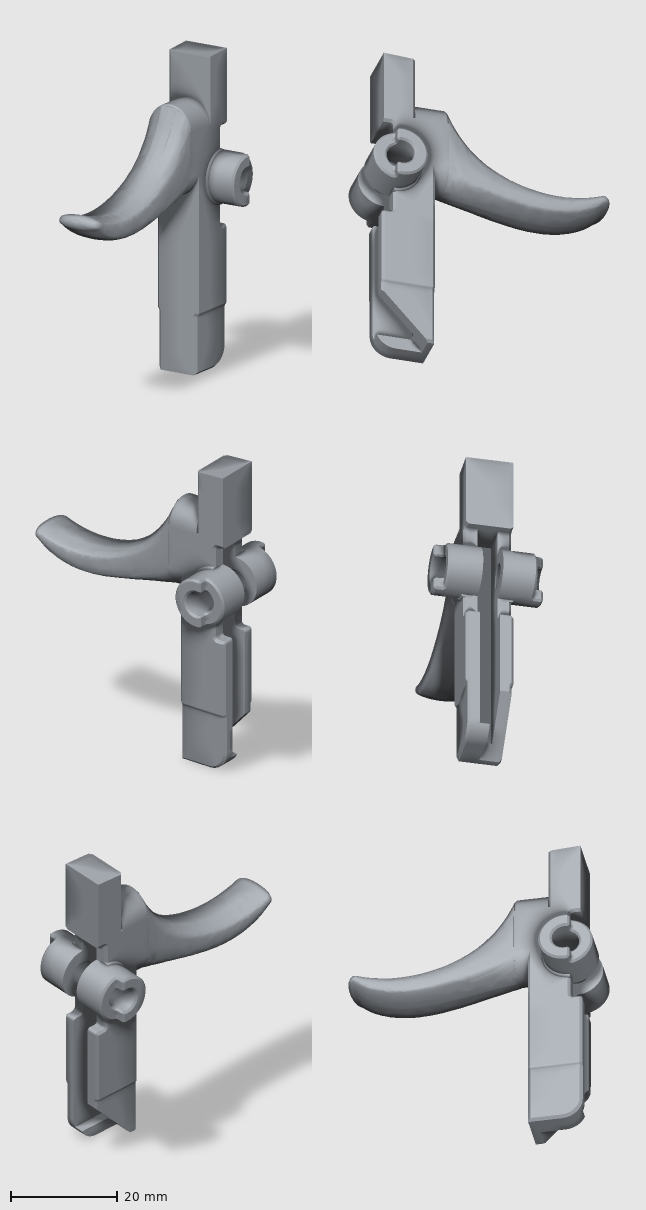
import cadquery as cq
import math


body_width = 9.2
body_top = 24.65
body_bottom = -37.26
top_slope_drop = 0.4
back_upper = 1.95
back_lower = 2.25
front_upper = -4.3
front_lower = -8.24
edge_chamfer = 0.55

notch_floor = 0.0
notch_top = 9.75
notch_bottom = -9.75
notch_fillet = 0.6
notch_chamfer = 0.5

tail_width = 8.45
taper_start = -25.05
taper_end = -25.95
tail_corner_radius = 4.0
bevel_top = -27.2
bevel_foot = -6.9

slot_width = 3.9
slot_floor = -5.5
slot_bottom = -34.8

hub_length = 21.09
hub_radius = 5.05
bore_radius = 2.45
hub_chamfer = 0.4
flare = 0.45
step_x = 8.65
step_y = 0.95
step_fillet = 0.4

boss_end = -10.83
boss_top = 15.85
boss_bottom = -2.35
crown_radius = 0.45
boss_radius = body_width / 2
boss_upper_centre = boss_top - boss_radius
boss_lower_centre = boss_bottom + boss_radius

bow_width = 9.15
finger_radius = 23.2
finger_low_y = -33.0
finger_low_z = 0.02
cap_angles = (0, 20, 40, 60, 75, 90)
bow_sections = [
    (-13.5, (-12.0, -2.55), 3.6),
    (-17.0, (-14.5, -2.9), 2.7),
    (-21.5, (-18.5, -3.6), 2.0),
    (-26.5, (-24.0, -4.65), 1.6),
    (-32.0, (-31.2, -5.25), 1.4),
    (-37.0, (-38.0, -3.85), 1.3),
    (-40.45, (-41.85, -1.4), 1.2),
]
tip_point = (-43.02, 0.75)
tip_power = 2.5
tip_stations = (0, 0.3, 0.55, 0.75, 0.9, 0.99)

margin = 1.0
pick = 0.01


def box(x_range, y_range, z_range):
    """Box between (low, high) limits along each axis."""
    size = [high - low for low, high in (x_range, y_range, z_range)]
    corner = (x_range[0], y_range[0], z_range[0])
    return cq.Workplane("XY").box(*size, centered=False).translate(corner)


def edges_in(solid, x_range, y_range, z_range):
    """Edges whose centres lie between (low, high) limits along each axis."""
    low, high = zip(x_range, y_range, z_range)
    low = tuple(value - pick for value in low)
    high = tuple(value + pick for value in high)
    return solid.edges(cq.selectors.BoxSelector(low, high))


def edge_along_x(solid, y, z):
    """Edge nearest to a point of the YZ plane."""
    return solid.edges(cq.selectors.NearestToPointSelector((0, y, z)))


def make_bar():
    """Full-width bar with the notch and the rounded corners of its back."""
    outline = [
        (back_upper, body_top),
        (front_upper, body_top - top_slope_drop),
        (front_upper, boss_upper_centre),
        (boss_end, boss_upper_centre),
        (boss_end, boss_lower_centre),
        (front_lower, boss_lower_centre),
        (front_lower, body_bottom),
        (back_lower, body_bottom),
        (back_lower, notch_bottom),
        (notch_floor, notch_bottom),
        (notch_floor, notch_top),
        (back_upper, notch_top),
    ]
    bar = cq.Workplane("YZ").polyline(outline).close().extrude(body_width / 2, both=True)
    bar = edge_along_x(bar, notch_floor, notch_top).fillet(notch_fillet)
    bar = edge_along_x(bar, notch_floor, notch_bottom).fillet(notch_fillet)
    bar = edge_along_x(bar, back_lower, notch_bottom).fillet(notch_fillet)
    return edge_along_x(bar, back_lower, body_bottom).fillet(tail_corner_radius)


def narrow_tail(bar):
    """Step both sides in to the tail width along two tangent arcs."""
    half_body = body_width / 2
    half_tail = tail_width / 2
    outside = half_body + margin
    below = body_bottom - margin
    middle = ((half_body + half_tail) / 2, (taper_start + taper_end) / 2)
    depth = abs(front_lower) + margin
    side = (
        cq.Workplane("XZ")
        .moveTo(half_tail, below)
        .lineTo(half_tail, taper_end)
        .tangentArcPoint(middle, relative=False)
        .tangentArcPoint((half_body, taper_start), relative=False)
        .lineTo(outside, taper_start)
        .lineTo(outside, below)
        .close()
        .extrude(depth, both=True)
    )
    return bar.cut(side).cut(side.mirror("YZ"))


def chamfer_body(body):
    """Chamfer the front edges, and the back edges up to the notch top."""
    low_x = tail_width / 2
    high_x = body_width / 2
    upper_z = (boss_upper_centre + margin, body_top)
    lower_z = (body_bottom + margin, boss_lower_centre - margin)
    back_z = (body_bottom + 2 * pick, notch_top)
    for x_range in ((-high_x, -low_x), (low_x, high_x)):
        body = edges_in(body, x_range, (front_upper, front_upper), upper_z).chamfer(edge_chamfer)
        body = edges_in(body, x_range, (front_lower, front_lower), lower_z).chamfer(edge_chamfer)
        body = edges_in(body, x_range, (notch_floor, back_lower), back_z).chamfer(notch_chamfer)
    return body


def cut_bevel(body):
    """Bevel the -X half of the tail, from the back down to the bottom."""
    bevel = (
        cq.Workplane("YZ")
        .polyline([(back_lower, bevel_top), (bevel_foot, body_bottom), (back_lower, body_bottom)])
        .close()
        .extrude(-body_width)
    )
    return body.cut(bevel)


def make_hub():
    """Tube along X whose ends are stepped back on the +Y side, with chamfered rims."""
    half = hub_length / 2
    reach = 2 * hub_radius
    hub = cq.Workplane("YZ").circle(hub_radius).circle(bore_radius).extrude(half, both=True)
    step = box((step_x, half + margin), (step_y, reach), (-reach, reach))
    step = step.edges("|Z").edges("<X").edges("<Y").fillet(step_fillet)
    hub = hub.cut(step).cut(step.mirror("YZ"))

    def is_rim(edge):
        """Rims of the hub and the bore, and the straight edges of the end faces."""
        ends = [edge.startPoint(), edge.endPoint()]
        if edge.geomType() == "LINE":
            return all(abs(abs(point.x) - half) < pick for point in ends)
        radii = [math.hypot(point.y, point.z) for point in ends]
        return abs(radii[0] - radii[1]) < pick

    rims = [edge for edge in hub.edges().vals() if is_rim(edge)]
    return hub.newObject(rims).chamfer(hub_chamfer)


def make_flare():
    """Concave collars where the hub meets the sides of the body, on the front half."""
    side = body_width / 2
    collar = (
        cq.Workplane("XY")
        .moveTo(side - margin, -bore_radius)
        .lineTo(side - margin, -hub_radius - flare)
        .lineTo(side, -hub_radius - flare)
        .radiusArc((side + flare, -hub_radius), -flare)
        .lineTo(side + flare, -bore_radius)
        .close()
        .revolve(360, (0, 0, 0), (1, 0, 0))
    )
    reach = 2 * hub_radius
    front = box((0, hub_length), (-reach, notch_floor), (-reach, reach))
    collar = collar.intersect(front)
    return collar.union(collar.mirror("YZ"))


def make_boss():
    """Two cylinders along Y, flush with the body; the upper one has a rounded crown."""
    def cylinder(z):
        base = cq.Workplane("XZ", origin=(0, front_upper, z))
        return base.circle(boss_radius).extrude(front_upper - boss_end)

    upper = cylinder(boss_upper_centre).faces("<Y").edges().fillet(crown_radius)
    return upper.union(cylinder(boss_lower_centre))


def finger_point(y):
    """(Y, Z) of the point of the finger surface at a given Y."""
    drop = math.sqrt(finger_radius**2 - (y - finger_low_y) ** 2)
    return (y, finger_low_z + finger_radius - drop)


def bow_section(top, bottom, width, cap):
    """Closed wire between two (Y, Z) points, with upright sides and elliptical ends of height cap."""
    length = math.dist(top, bottom)
    up_y = (top[0] - bottom[0]) / length
    up_z = (top[1] - bottom[1]) / length

    def at(x, height):
        return cq.Vector(x, bottom[0] + up_y * height, bottom[1] + up_z * height)

    def side(sign):
        lower = []
        for angle in cap_angles:
            turn = math.radians(angle)
            lower.append((sign * width / 2 * math.sin(turn), cap * (1 - math.cos(turn))))
        upper = [(x, length - height) for x, height in reversed(lower)]
        points = [at(x, height) for x, height in lower + upper]
        across = cq.Vector(sign, 0, 0)
        return cq.Edge.makeSpline(points, tangents=[across, -across])

    return cq.Wire.assembleEdges([side(1), side(-1)])


def make_bow():
    """Curved trigger bow, lofted from the boss to the start of the tip."""
    root_top = (boss_end, boss_top - crown_radius)
    root_bottom = (boss_end, boss_bottom)
    wires = [bow_section(root_top, root_bottom, bow_width, boss_radius - crown_radius)]
    for top_y, bottom, cap in bow_sections:
        wires.append(bow_section(finger_point(top_y), bottom, bow_width, cap))
    return cq.Workplane(cq.Solid.makeLoft(wires))


def make_tip():
    """Rounded end of the bow: parallel sections that shrink along a superellipse."""
    root_top_y, root_bottom, root_cap = bow_sections[-1]
    root_top = finger_point(root_top_y)
    root_middle = [(high + low) / 2 for high, low in zip(root_top, root_bottom)]
    half_height = [(high - low) / 2 for high, low in zip(root_top, root_bottom)]
    wires = []
    for part_way in tip_stations:
        scale = (1 - part_way**tip_power) ** (1 / tip_power)
        middle = [start + part_way * (end - start) for start, end in zip(root_middle, tip_point)]
        top = [centre + scale * half for centre, half in zip(middle, half_height)]
        bottom = [centre - scale * half for centre, half in zip(middle, half_height)]
        wires.append(bow_section(top, bottom, scale * bow_width, scale * root_cap))
    return cq.Workplane(cq.Solid.makeLoft(wires))


def cut_bore(part):
    """Bore through the hub and the body along X."""
    return part.cut(cq.Workplane("YZ").circle(bore_radius).extrude(hub_length, both=True))


def cut_slot(part):
    """Slot in the back, centred across the width."""
    half = slot_width / 2
    slot = box((-half, half), (slot_floor, hub_radius + margin), (slot_bottom, notch_top))
    return part.cut(slot)


body = cut_bevel(chamfer_body(narrow_tail(make_bar())))
part = body.union(make_hub()).union(make_flare()).union(make_boss())
part = cut_slot(cut_bore(part))
result = part.union(make_bow()).union(make_tip())